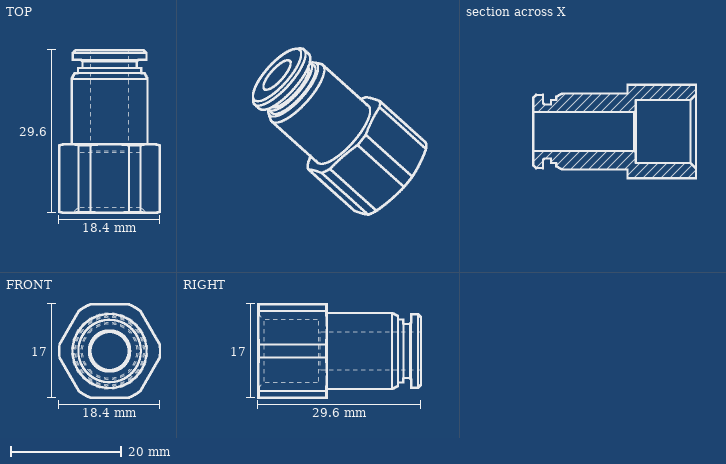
import cadquery as cq
import math

total_length = 29.6

hex_length = 12.5
across_flats = 17.0
corner_diameter = 18.38
hex_face_diameter = 16.87
hex_chamfer_angle = 15.0

body_diameter = 13.85
body_end_diameter = 12.73
body_chamfer_start = 24.35
body_end = 25.43

collar_diameter = 11.5
collar_end = 26.37
neck_diameter = 9.9
neck_chamfer = 0.25
flange_diameter = 13.45
flange_start = 27.8
flange_chamfer = 0.55

socket_diameter = 11.37
socket_depth = 10.95
socket_mouth_diameter = 13.45
passage_diameter = 6.93
passage_chamfer = 0.3


def revolve_profile(points):
    """Revolve (radius, y) points about the Y axis, closing the profile along that axis."""
    start_y = points[0][1]
    end_y = points[-1][1]
    profile = [(0, start_y)] + points + [(0, end_y)]
    return cq.Workplane("XY").polyline(profile).close().revolve(360, (0, 0, 0), (0, 1, 0))


def make_hex():
    """Hexagon with corners on +X and -X, its corners turned round and both ends chamfered."""
    vertex_diameter = across_flats / math.cos(math.radians(30))
    prism = cq.Workplane("XZ").polygon(6, vertex_diameter).extrude(-hex_length)
    corner_radius = corner_diameter / 2
    face_radius = hex_face_diameter / 2
    chamfer_length = (corner_radius - face_radius) * math.tan(math.radians(hex_chamfer_angle))
    turned_blank = revolve_profile([
        (face_radius, 0),
        (corner_radius, chamfer_length),
        (corner_radius, hex_length - chamfer_length),
        (face_radius, hex_length),
    ])
    return prism.intersect(turned_blank)


def make_body_and_sleeve():
    """Round body and release sleeve, turned as one stepped profile from inside the hex."""
    body_radius = body_diameter / 2
    collar_radius = collar_diameter / 2
    neck_radius = neck_diameter / 2
    flange_radius = flange_diameter / 2
    return revolve_profile([
        (body_radius, hex_length / 2),
        (body_radius, body_chamfer_start),
        (body_end_diameter / 2, body_end),
        (collar_radius, body_end),
        (collar_radius, collar_end),
        (neck_radius, collar_end),
        (neck_radius, flange_start - neck_chamfer),
        (neck_radius + neck_chamfer, flange_start),
        (flange_radius, flange_start),
        (flange_radius, total_length - flange_chamfer),
        (flange_radius - flange_chamfer, total_length),
    ])


def make_passage():
    """Countersunk socket in the hex end, leading into a chamfered through passage."""
    socket_radius = socket_diameter / 2
    mouth_radius = socket_mouth_diameter / 2
    passage_radius = passage_diameter / 2
    countersink_depth = mouth_radius - socket_radius
    return revolve_profile([
        (mouth_radius, 0),
        (socket_radius, countersink_depth),
        (socket_radius, socket_depth),
        (passage_radius + passage_chamfer, socket_depth),
        (passage_radius, socket_depth + passage_chamfer),
        (passage_radius, total_length),
    ])


result = make_hex().union(make_body_and_sleeve()).cut(make_passage())